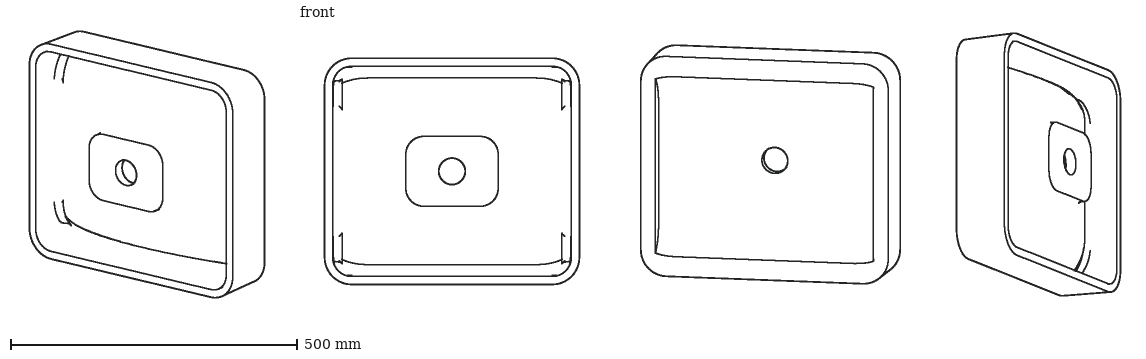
import cadquery as cq
import math

width = 445.2
height = 395.5
skirt_depth = 95.5
wall = 14.2
corner_radius = 47.5
skirt_draft = 1.3
inner_fillet = 10.0

bowl_bulge = 3.0
bowl_radius = 334.0
bowl_half_height = 141.5
bowl_draft = 14.5
bowl_edge_radius = 60.0
bowl_wall = 7.0

total_depth = 110.0
boss_width = 161.0
boss_height = 122.0
boss_corner_radius = 31.0
boss_fillet = 9.0
drain_diameter = 46.0

deck_depth = skirt_depth - wall
boss_protrusion = total_depth - skirt_depth
bowl_axis_y = bowl_radius - bowl_bulge
block_depth = 2 * skirt_depth

rim_plane = cq.Plane(origin=(0, 0, 0), xDir=(1, 0, 0), normal=(0, 1, 0))


def drafted_block(inset, depth):
    """Rounded rectangle set in from the skirt outline, drafted inward along +Y."""
    return (
        cq.Workplane(rim_plane)
        .sketch()
        .rect(width - 2 * inset, height - 2 * inset)
        .vertices()
        .fillet(corner_radius - inset)
        .finalize()
        .extrude(depth, taper=skirt_draft)
    )


def arc_y(radius, x):
    """Y on the -Y side of a circle about the bowl axis."""
    return bowl_axis_y - math.sqrt(radius**2 - x**2)


def limit_to_walls(block, inset):
    """Trim a bowl block between leaning walls and round their edges with the floor."""
    start = -2 * bowl_bulge
    lean = math.tan(math.radians(bowl_draft))
    near = bowl_half_height - inset + lean * (start + bowl_bulge)
    far = bowl_half_height - inset + lean * (block_depth + bowl_bulge)
    walls = (
        cq.Workplane("YZ")
        .polyline([(start, -near), (block_depth, -far), (block_depth, far), (start, near)])
        .close()
        .extrude(width / 2, both=True)
    )
    trimmed = block.intersect(walls)
    return trimmed.edges("%ELLIPSE").fillet(bowl_edge_radius - inset)


def bowl_block(half_width, inset):
    """Bowl shape set in by the given amount, with rounded upper and lower floor edges."""
    end_y = arc_y(bowl_radius - inset, half_width)
    block = (
        cq.Workplane("XY")
        .moveTo(-half_width, end_y)
        .threePointArc((0, inset - bowl_bulge), (half_width, end_y))
        .lineTo(half_width, block_depth)
        .lineTo(-half_width, block_depth)
        .close()
        .extrude(height, both=True)
    )
    return limit_to_walls(block, inset)


def flare(bowl, end_x):
    """Concave fillet swept along the upper half of the joint between bowl and +X skirt wall."""
    center_x = end_x - inner_fillet
    center_y = arc_y(bowl_radius + inner_fillet, center_x)
    join_x = center_x * bowl_radius / (bowl_radius + inner_fillet)
    join_y = arc_y(bowl_radius, join_x)
    angle = math.atan2(join_y - center_y, join_x - center_x) / 2
    mid_x = center_x + inner_fillet * math.cos(angle)
    mid_y = center_y + inner_fillet * math.sin(angle)
    upper_half = bowl.intersect(
        cq.Workplane("XY").rect(4 * width, 4 * width).extrude(height)
    )
    joint_edges = upper_half.faces(">X").edges("(not <Z) and (not >Y)").vals()
    path = cq.Workplane(cq.Wire.assembleEdges(joint_edges))
    return (
        cq.Workplane("XY")
        .moveTo(join_x, join_y)
        .threePointArc((mid_x, mid_y), (end_x, center_y))
        .lineTo(end_x, arc_y(bowl_radius, end_x))
        .close()
        .sweep(path)
    )


def boss():
    """Flat drain boss, running from its outer face into the bowl floor."""
    return (
        cq.Workplane(rim_plane)
        .workplane(offset=-boss_protrusion)
        .sketch()
        .rect(boss_width, boss_height)
        .vertices()
        .fillet(boss_corner_radius)
        .finalize()
        .extrude(boss_protrusion + wall)
    )


envelope = drafted_block(0, skirt_depth)
underside = drafted_block(wall, deck_depth).faces(">Y").edges().fillet(inner_fillet)
below_top = cq.Workplane("XY").box(2 * width, 2 * skirt_depth, 2 * height)
skirt_half_width = width / 2 - wall
flare_x = skirt_half_width - deck_depth / 2 * math.tan(math.radians(skirt_draft))
outer_bowl = bowl_block(flare_x, 0)
upper_flare = flare(outer_bowl, flare_x)
flare_pair = upper_flare.union(upper_flare.mirror("XY"))
flares = flare_pair.union(flare_pair.mirror("YZ"))
bowl = outer_bowl.intersect(below_top)
bossed = bowl.union(boss())
margin = 0.5
joint_box = cq.selectors.BoxSelector(
    (-boss_width / 2 - margin, -bowl_bulge - margin, -boss_height / 2 - margin),
    (boss_width / 2 + margin, wall - margin, boss_height / 2 + margin),
    boundingbox=True,
)
joint = bossed.edges(joint_box)
bossed = joint.fillet(boss_fillet)
drain = cq.Workplane("XZ").circle(drain_diameter / 2).extrude(total_depth, both=True)
result = envelope.cut(underside).union(bossed)
result = result.union(flares.intersect(envelope))
result = result.cut(bowl_block(skirt_half_width - wall, bowl_wall)).cut(drain)